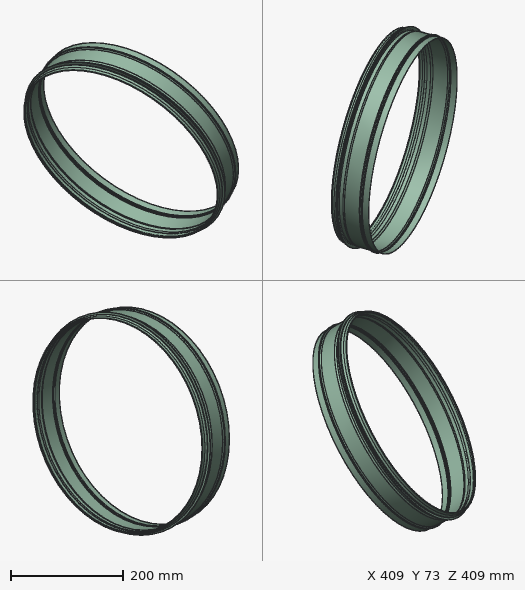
import cadquery as cq

sheet = 0.6
tube_radius = 399.0 / 2
neck_radius = 395.3 / 2
bead_radius = 403.0 / 2

length = 73.0
neck_start = 10.5
neck_end = 22.0
step_end = 25.8
bead_start = 54.5
bead_crest_start = 57.0
bead_crest_end = 59.5
bead_end = 60.5

mouth_radius = 393.0 / 2
hub_radius = tube_radius
flange_radius = 409.0 / 2
lip_radius = bead_radius
rim_width = 1.5
rim_rounding = 1.2
lip_start = 5.7
lip_shoulder = 7.5
lip_crest_start = 10.0
lip_crest_end = 11.5
flange_start = 13.5
flange_end = 15.0


def revolve_profile(points):
    """Revolve a closed (radius, y) outline one full turn about the Y axis."""
    return cq.Workplane("XY").polyline(points).close().revolve(360, (0, 0, 0), (0, 1, 0))


def make_collar():
    """Thin tube with a stop bead and a stepped-down neck at the front."""
    wall_path = [
        (neck_radius, neck_start),
        (neck_radius, neck_end),
        (tube_radius, step_end),
        (tube_radius, bead_start),
        (bead_radius, bead_crest_start),
        (bead_radius, bead_crest_end),
        (tube_radius, bead_end),
        (tube_radius, length),
    ]
    inside = [(radius - sheet, y) for radius, y in reversed(wall_path)]
    return revolve_profile(wall_path + inside)


def make_end_ring():
    """Ring around the neck with a thin flange, a sloped lip and a rounded inward rim."""
    ring = revolve_profile([
        (neck_radius, rim_width),
        (mouth_radius, rim_width),
        (mouth_radius, 0),
        (hub_radius, 0),
        (hub_radius, lip_start),
        ((hub_radius + lip_radius) / 2, lip_shoulder),
        (lip_radius, lip_crest_start),
        (lip_radius, lip_crest_end),
        (hub_radius, lip_crest_end),
        (hub_radius, flange_start),
        (flange_radius, flange_start),
        (flange_radius, flange_end),
        (neck_radius, flange_end),
    ])
    return ring.faces("<Y").edges().fillet(rim_rounding)


collar = make_collar()
end_ring = make_end_ring()

result = cq.Compound.makeCompound([collar.val(), end_ring.val()])